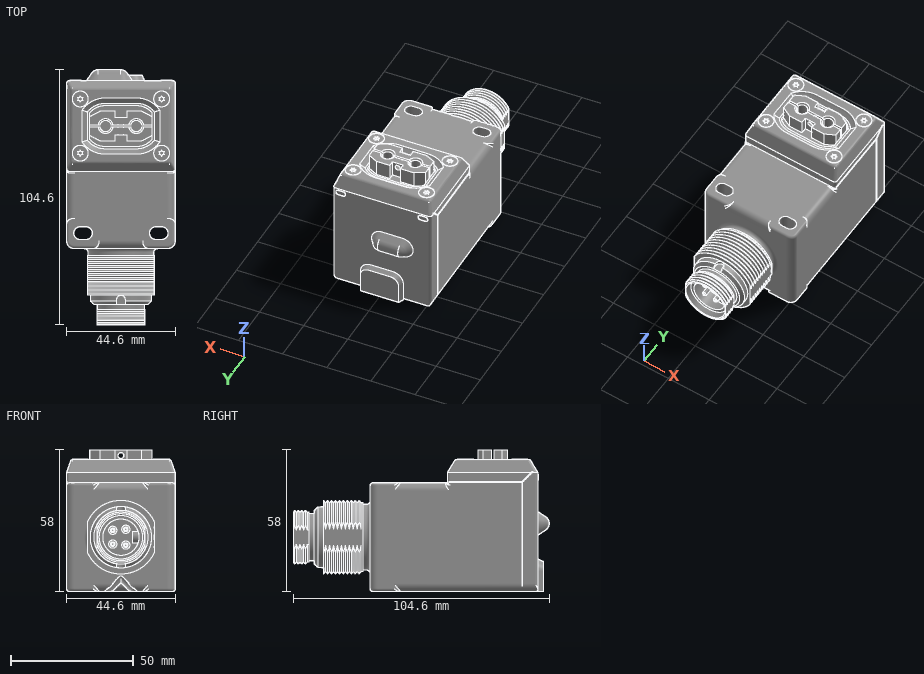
import cadquery as cq
import math


overall_length = 104.6

width = 44.6
half_width = width / 2
housing_height = width
housing_rear = 68.8
front_corner_radius = 3.2
edge_radius = 1.3

relief_radius = 3.2
relief_end_radius = 2.6
relief_rear_end_radius = 1.4
front_relief_half = 11.6
side_relief_front = 9.7
side_relief_rear = 32.3

vee_apex_height = 5.2
vee_groove_radius = 1.2
vee_lean = 1.6

slot_length = 7.5
slot_width = 5.1
slot_x = 15.5
slot_y = 6.4

cap_front = 31.6
cap_center_y = (cap_front + housing_rear) / 2
cap_half_depth = (housing_rear - cap_front) / 2
cap_shoulder_z = 48.7
cap_top_z = 54.1
cap_side_inset = 1.9
cap_end_inset = 3.2
cap_overlap = 4.2

seam_z = 44.9
seam_width = 0.3
seam_depth = 0.16
cover_front = 62.3
seam_corner_y = 67.5

recess_half_length = 15.9
recess_end_radius = 11.5
recess_arc_x = 6.4
recess_lip = 0.6
recess_wall_inset = 2.2
recess_ledge_z = 52.3
recess_floor_inset = 3.1
recess_floor_z = 51.0
plug_top_z = 58.0
plug_half_length = 12.8
plug_half_depth = 6.1
plug_corner_x = 4.3
plug_corner_y = 2.2
plug_notch_half = 2.4
plug_notch_depth = 2.5
plug_slit = 0.9
contact_x = 6.3
contact_radius = 2.3
contact_mouth_radius = 3.0
cross_hole_radius = 1.2
cross_hole_z = 55.7

screw_x = 16.6
screw_offset_y = 11.1
screw_radius = 3.2
screw_rise = 0.2
star_tips = 6
star_outer = 1.3
star_inner = 0.7
star_depth = 0.6

rear_pad_x = 18.6
rear_pad_z = 46.8
rear_pad_length = 4.4
rear_pad_width = 2.3
rear_pad_height = 0.2

axis_z = housing_height / 2
neck_radius = 13.5
neck_fillet = 1.5
main_thread_start = 2.8
main_thread_end = 18.9
main_crest = 15.1
main_root = 14.1
main_turns = 10
main_flat = 13.7
collar_radius = 12.6
collar_end = 22.8
collar_chamfer = 1.5
small_neck_radius = 9.7
small_thread_start = 24.9
small_thread_end = 30.9
connector_end = 31.3
small_crest = 11.0
small_root = 10.3
small_turns = 4
small_flat = 9.8
key_slot_radius = 1.8
key_slot_floor = 10.9
key_slot_y = 20.8

mouth_rim_radius = 9.6
mouth_radius = 8.9
mouth_depth = 2.6
bore_radius = 7.4
bore_depth = 9.4
key_radius = 2.3
key_tip_x = 4.8
key_depth = 5.0
pin_radius = 0.9
pin_tip_chamfer = 0.4
pin_length = 5.5
pin_well_radius = 1.7
pin_well_depth = 0.5
pin_places = [(-3.3, 2.8), (-3.3, -2.8), (2.0, 3.2), (2.0, -3.2)]

dome_x = -4.7
dome_z = 27.9
dome_half_straight = 4.6
dome_base_radius = 4.8
dome_shoulder_radius = 2.9
dome_shoulder_height = 2.8
dome_height = overall_length - connector_end - housing_rear
foot_half_width = 9.7
foot_top_z = 13.4
foot_corner_radius = 4.8
foot_height = 2.3
foot_draft = 25


def block(x0, x1, y0, y1, z0, z1):
    """Box given by its limits along X, Y and Z."""
    return cq.Workplane("XY").box(x1 - x0, y1 - y0, z1 - z0, centered=False).translate((x0, y0, z0))


def both_sides(shape):
    """The shape together with its mirror image across X = 0."""
    return shape.union(shape.mirror("YZ"))


def make_housing():
    body = block(-half_width, half_width, 0, housing_rear, 0, housing_height)
    body = body.edges("|Z and <Y").fillet(front_corner_radius)
    body = body.edges("|Z and >Y").fillet(edge_radius)
    return body.faces(">Z or <Z").edges().fillet(edge_radius)


def make_cap():
    """Straight lower band under a crown that tapers inward on all four sides."""
    band_z = housing_height - cap_overlap
    depth = 2 * cap_half_depth
    band = cq.Workplane("XY").rect(width, depth).extrude(cap_shoulder_z - band_z)
    band = band.edges("|Z").fillet(edge_radius).translate((0, cap_center_y, band_z))
    crown = (
        cq.Workplane("XY").rect(width, depth).workplane(offset=cap_top_z - cap_shoulder_z)
        .rect(width - 2 * cap_side_inset, depth - 2 * cap_end_inset).loft(ruled=True)
    )
    crown = crown.edges("not (|X or |Y)").fillet(edge_radius)
    crown = crown.faces(">Z").edges().fillet(edge_radius)
    return band.union(crown.translate((0, cap_center_y, cap_shoulder_z)))


def edge_relief(start, end, start_radius, end_radius):
    """Cutter that rounds the edge along local X; the solid lies toward +Y and -Z.

    Each end leaves a rounded upright corner of the given radius on the solid."""
    r = relief_radius
    bend = 1 - math.sqrt(0.5)
    rounding = (
        cq.Workplane("YZ").moveTo(r, 0).threePointArc((bend * r, -bend * r), (0, -r))
        .lineTo(-r, -r).lineTo(-r, r).lineTo(r, r).close()
        .extrude(end - start).translate((start, 0, 0))
    )
    inner_start = start + start_radius
    inner_end = end - end_radius
    limits = (
        cq.Workplane("XY").moveTo(start, -r).lineTo(start, 0)
        .threePointArc((inner_start - bend * start_radius, bend * start_radius), (inner_start, start_radius))
        .lineTo(inner_start, r).lineTo(inner_end, r).lineTo(inner_end, end_radius)
        .threePointArc((inner_end + bend * end_radius, bend * end_radius), (end, 0))
        .lineTo(end, -r).close().extrude(2 * r, both=True)
    )
    return rounding.intersect(limits)


def cut_edge_reliefs(body):
    front = edge_relief(-front_relief_half, front_relief_half, relief_end_radius, relief_end_radius)
    body = body.cut(front.translate((0, 0, housing_height))).cut(front.mirror("XY"))

    def side(rear_y):
        relief = edge_relief(-rear_y, -side_relief_front, relief_rear_end_radius, relief_end_radius)
        return relief.rotate((0, 0, 0), (0, 0, 1), -90).translate((-half_width, 0, 0))

    top_side = side(side_relief_rear).translate((0, 0, housing_height))
    bottom_side = side(housing_rear + relief_radius).mirror("XY")
    return body.cut(both_sides(top_side)).cut(both_sides(bottom_side))


def cut_vee_groove(body):
    """Two round-bottomed grooves that run down from the apex and lean in with the lower edge."""
    apex = cq.Vector(0, 0, vee_apex_height)
    down_left = cq.Vector(-vee_apex_height, vee_lean, -vee_apex_height)
    leg_length = down_left.Length + vee_groove_radius
    leg = cq.Workplane(cq.Solid.makeCylinder(vee_groove_radius, leg_length, apex, down_left))
    tip = cq.Workplane("XY").sphere(vee_groove_radius).translate(apex)
    return body.cut(both_sides(leg)).cut(tip)


def cut_mounting_slots(body):
    slots = cq.Workplane("XY").pushPoints([(-slot_x, slot_y), (slot_x, slot_y)])
    return body.cut(slots.slot2D(slot_length, slot_width).extrude(housing_height))


def cut_seams(body):
    """Narrow grooves in both side faces where housing, cap and rear cover meet."""
    seam_rise = seam_corner_y - cover_front
    corner = (cover_front, seam_z)
    segments = [
        ((cap_front, seam_z), corner),
        ((cover_front, 0), corner),
        (corner, (seam_corner_y, seam_z + seam_rise)),
    ]
    for (y0, z0), (y1, z1) in segments:
        angle = math.degrees(math.atan2(z1 - z0, y1 - y0))
        seam = cq.Workplane("XY").box(2 * seam_depth, math.hypot(y1 - y0, z1 - z0), seam_width)
        seam = seam.rotate((0, 0, 0), (1, 0, 0), angle)
        body = body.cut(both_sides(seam.translate((half_width, (y0 + y1) / 2, (z0 + z1) / 2))))
    return body


def recess_outline(plane_z, inset):
    """Long rounded outline with cut-off ends, drawn inset from the recess rim."""
    half = recess_half_length - inset
    radius = recess_end_radius - inset
    end_y = math.sqrt(radius**2 - (half - recess_arc_x) ** 2)
    arc_angle = math.atan2(end_y, half - recess_arc_x)
    mid_angle = (arc_angle + math.pi / 2) / 2
    mid_x = recess_arc_x + radius * math.cos(mid_angle)
    mid_y = radius * math.sin(mid_angle)
    a = recess_arc_x
    return (
        cq.Workplane("XY").workplane(offset=plane_z).moveTo(-a, radius).lineTo(a, radius)
        .threePointArc((mid_x, mid_y), (half, end_y)).lineTo(half, -end_y)
        .threePointArc((mid_x, -mid_y), (a, -radius)).lineTo(-a, -radius)
        .threePointArc((-mid_x, -mid_y), (-half, -end_y)).lineTo(-half, end_y)
        .threePointArc((-mid_x, mid_y), (-a, radius)).close().wire().val()
    )


def make_recess():
    """Chamfered lip, tapered wall down to a ledge, and a straight drop to the floor."""
    lip_z = cap_top_z - recess_lip
    lip = cq.Solid.makeLoft([recess_outline(lip_z, recess_lip), recess_outline(cap_top_z, 0)], True)
    wall = cq.Solid.makeLoft(
        [recess_outline(recess_ledge_z, recess_wall_inset), recess_outline(lip_z, recess_lip)], True
    )
    floor_wire = recess_outline(recess_floor_z, recess_floor_inset)
    drop = cq.Solid.extrudeLinear(floor_wire, [], cq.Vector(0, 0, recess_ledge_z - recess_floor_z))
    recess = cq.Workplane(lip).union(cq.Workplane(wall)).union(cq.Workplane(drop))
    return recess.translate((0, cap_center_y, 0))


def make_plug():
    """Plug of two halves with contact holes, notched sides and one cross hole."""
    height = plug_top_z - recess_floor_z
    long_half = plug_half_length
    deep_half = plug_half_depth
    flat_x = long_half - plug_corner_x
    flat_y = deep_half - plug_corner_y
    outline = [
        (-long_half, -flat_y), (-flat_x, -deep_half), (flat_x, -deep_half), (long_half, -flat_y),
        (long_half, flat_y), (flat_x, deep_half), (-flat_x, deep_half), (-long_half, flat_y),
    ]
    plug = cq.Workplane("XY").polyline(outline).close().extrude(height)
    for side in (-1, 1):
        notch = cq.Workplane("XY").box(2 * plug_notch_half, 2 * plug_notch_depth, 2 * height)
        plug = plug.cut(notch.translate((0, side * deep_half, height)))
    plug = plug.cut(cq.Workplane("XY").box(2 * long_half, plug_slit, 2 * height).translate((0, 0, height)))
    contacts = cq.Workplane("XY").pushPoints([(-contact_x, 0), (contact_x, 0)])
    plug = plug.cut(contacts.circle(contact_radius).extrude(height))
    countersink_depth = contact_mouth_radius - contact_radius
    for x in (-contact_x, contact_x):
        mouth = cq.Solid.makeCone(contact_radius, contact_mouth_radius, countersink_depth)
        plug = plug.cut(cq.Workplane(mouth).translate((x, 0, height - countersink_depth)))
    cross_hole = cq.Workplane("XZ").center(0, cross_hole_z - recess_floor_z).circle(cross_hole_radius)
    plug = plug.cut(cross_hole.extrude(width, both=True))
    return plug.translate((0, cap_center_y, recess_floor_z))


def make_cap_screw():
    """Flat screw head with a six-pointed star drive, top face at Z = 0."""
    head = cq.Workplane("XY").circle(screw_radius).extrude(-2 * screw_rise)
    points = []
    for i in range(2 * star_tips):
        radius = star_outer if i % 2 == 0 else star_inner
        angle = math.pi * i / star_tips
        points.append((radius * math.sin(angle), radius * math.cos(angle)))
    star = cq.Workplane("XY").polyline(points).close().extrude(-star_depth)
    return head, star


def add_cap_screws(body):
    head, star = make_cap_screw()
    for x in (-screw_x, screw_x):
        for y in (cap_center_y - screw_offset_y, cap_center_y + screw_offset_y):
            place = (x, y, cap_top_z + screw_rise)
            body = body.union(head.translate(place)).cut(star.translate(place))
    return body


def make_rear_pads():
    pads = cq.Workplane("XZ").pushPoints([(-rear_pad_x, rear_pad_z), (rear_pad_x, rear_pad_z)])
    pads = pads.slot2D(rear_pad_length, rear_pad_width).extrude(rear_pad_height, both=True)
    return pads.translate((0, housing_rear, 0))


def thread_points(start, end, turns, crest, root):
    """Saw-tooth outline of a ring thread as (radius, Y) points, ending on a crest."""
    pitch = (end - start) / turns
    points = [(root, -start)]
    for turn in range(turns):
        points.append((root, -(start + (turn + 0.5) * pitch)))
        points.append((crest, -(start + (turn + 1) * pitch)))
    return points


def make_connector_shell():
    bend = neck_fillet * (1 - math.sqrt(0.5))
    profile = (
        cq.Workplane("XY").moveTo(0, edge_radius).lineTo(neck_radius + neck_fillet, edge_radius)
        .lineTo(neck_radius + neck_fillet, 0)
        .threePointArc((neck_radius + bend, -bend), (neck_radius, -neck_fillet))
        .lineTo(neck_radius, -main_thread_start)
    )
    corners = thread_points(main_thread_start, main_thread_end, main_turns, main_crest, main_root)
    corners += [
        (collar_radius, -main_thread_end),
        (collar_radius, -(collar_end - collar_chamfer)),
        (collar_radius - collar_chamfer, -collar_end),
        (small_neck_radius, -collar_end),
        (small_neck_radius, -small_thread_start),
    ]
    corners += thread_points(small_thread_start, small_thread_end, small_turns, small_crest, small_root)
    corners += [(small_root, -connector_end), (0, -connector_end)]
    for corner in corners:
        profile = profile.lineTo(*corner)
    shell = profile.close().revolve(360, (0, 0, 0), (0, 1, 0))
    shell = cut_flats(shell, main_flat, main_thread_start, main_thread_end)
    shell = cut_flats(shell, small_flat, small_thread_start, connector_end)
    return cut_key_slots(shell)


def cut_flats(shell, flat_x, start, end):
    flat = block(flat_x, half_width, -end, -start, -half_width, half_width)
    return shell.cut(both_sides(flat))


def cut_key_slots(shell):
    """Round-ended slots at the top and bottom of the collar, open toward its end."""
    r = key_slot_radius
    round_end = cq.Workplane("XY").center(0, -key_slot_y).circle(r).extrude(collar_radius)
    straight = block(-r, r, -collar_end, -key_slot_y, 0, collar_radius)
    slot = round_end.union(straight).translate((0, 0, key_slot_floor))
    return shell.cut(slot).cut(slot.mirror("XY"))


def make_bore():
    """Stepped bore with a flared mouth at the connector end and a well around each pin."""
    floor_y = bore_depth - connector_end
    end_plane = cq.Workplane("XZ", origin=(0, -connector_end, 0))
    rim_center = cq.Vector(0, -connector_end, 0)
    mouth = cq.Solid.makeCone(mouth_rim_radius, mouth_radius, mouth_depth, rim_center, cq.Vector(0, 1, 0))
    bore = cq.Workplane(mouth)
    bore = bore.union(end_plane.circle(bore_radius).extrude(-bore_depth))
    floor_plane = cq.Workplane("XZ", origin=(0, floor_y, 0))
    return bore.union(floor_plane.pushPoints(pin_places).circle(pin_well_radius).extrude(-pin_well_depth))


def make_pins_and_key():
    well_plane = cq.Workplane("XZ", origin=(0, bore_depth + pin_well_depth - connector_end, 0))
    pins = well_plane.pushPoints(pin_places).circle(pin_radius).extrude(pin_length + pin_well_depth)
    pins = pins.faces("<Y").chamfer(pin_tip_chamfer)
    key = cq.Workplane("YZ").center(key_depth - connector_end, 0).circle(key_radius)
    key = key.extrude(mouth_radius - key_tip_x).translate((key_tip_x, 0, 0))
    return pins, key


def make_connector():
    pins, key = make_pins_and_key()
    connector = make_connector_shell().cut(make_bore()).union(pins).union(key)
    return connector.translate((0, 0, axis_z))


def make_rear_dome():
    """Long rounded bump: a straight middle between two half-turned ends."""
    crown_x = dome_shoulder_radius / 2
    crown_height = (dome_shoulder_height + 3 * dome_height) / 4
    half = (
        cq.Workplane("XY").moveTo(0, -edge_radius).lineTo(dome_base_radius, -edge_radius)
        .lineTo(dome_base_radius, 0).lineTo(dome_shoulder_radius, dome_shoulder_height)
        .threePointArc((crown_x, crown_height), (0, dome_height)).close()
    )
    end = half.revolve(360, (0, 0, 0), (0, 1, 0))
    dome = (
        cq.Workplane("ZY").moveTo(-dome_base_radius, -edge_radius).lineTo(dome_base_radius, -edge_radius)
        .lineTo(dome_base_radius, 0).lineTo(dome_shoulder_radius, dome_shoulder_height)
        .threePointArc((0, dome_height), (-dome_shoulder_radius, dome_shoulder_height))
        .lineTo(-dome_base_radius, 0).close().extrude(dome_half_straight, both=True)
    )
    for x in (-dome_half_straight, dome_half_straight):
        dome = dome.union(end.translate((x, 0, 0)))
    return dome.translate((dome_x, housing_rear, dome_z))


def make_rear_foot():
    """Drafted pad with rounded upper corners, reaching down to the base."""
    w = foot_half_width
    outline = cq.Sketch().rect(2 * w, 2 * foot_top_z).vertices().fillet(foot_corner_radius)
    pad = cq.Workplane("XZ").placeSketch(outline).extrude(-foot_height, taper=foot_draft)
    root = block(-w, w, -relief_radius, 0, 0, foot_top_z - foot_corner_radius)
    above_base = block(-w, w, -relief_radius, width, 0, width)
    return pad.union(root).intersect(above_base).translate((0, housing_rear, 0))


result = make_housing().union(make_cap())
result = cut_edge_reliefs(result)
result = cut_vee_groove(result)
result = cut_mounting_slots(result)
result = cut_seams(result)
result = result.cut(make_recess()).union(make_plug())
result = add_cap_screws(result)
result = result.union(make_rear_pads()).union(make_connector())
result = result.union(make_rear_dome()).union(make_rear_foot())